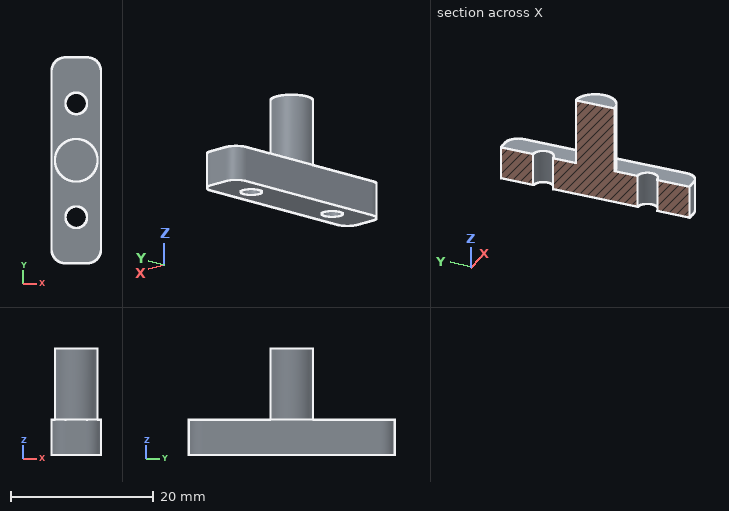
import cadquery as cq

base_width = 7.0
base_length = 29.0
base_height = 5.0
corner_radius = 2.0

pin_diameter = 6.0
pin_height = 10.0

hole_diameter = 3.0
hole_spacing = 16.0


def make_base():
    """Plate centred on the Z axis, with rounded vertical corners."""
    plate = cq.Workplane("XY").box(base_width, base_length, base_height, centered=(True, True, False))
    return plate.edges("|Z").fillet(corner_radius)


def add_pin(body):
    """Cylindrical pin on the middle of the plate's top face."""
    pin = cq.Workplane("XY").workplane(offset=base_height).circle(pin_diameter / 2).extrude(pin_height)
    return body.union(pin)


def cut_mounting_holes(body):
    """Two through holes along the plate's length."""
    hole_centers = [(0, side * hole_spacing / 2) for side in (-1, 1)]
    holes = cq.Workplane("XY").pushPoints(hole_centers).circle(hole_diameter / 2).extrude(base_height)
    return body.cut(holes)


result = cut_mounting_holes(add_pin(make_base()))